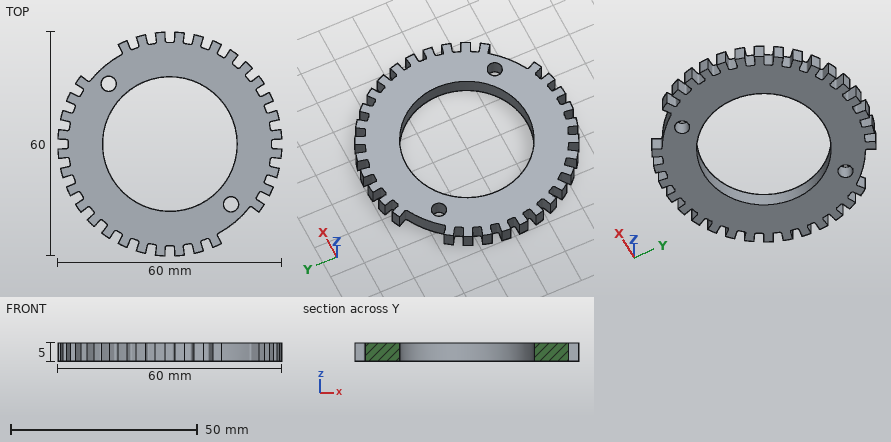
import cadquery as cq
import math

tooth_positions = 36
pitch_angle = 360 / tooth_positions
gap_angle = pitch_angle / 2
root_fillet = 0.5
gap_clearance = 3.0

overall_width = 59.95
outer_radius = overall_width / 2 / math.cos(math.radians(gap_angle / 2))
root_radius = 27.2
bore_diameter = 35.95
thickness = 5.0

wide_gap_centers = (130, 310)
missing_teeth = 2
wide_gap_angle = gap_angle + missing_teeth * pitch_angle

hole_diameter = 4.0
hole_x = 16.35
hole_y = 16.1


def polar(radius, degrees):
    angle = math.radians(degrees)
    return radius * math.cos(angle), radius * math.sin(angle)


def gap_cutter(center_angle, width_angle):
    """Sector between two radial flanks, with its corners at the root rounded."""
    start = center_angle - width_angle / 2
    end = center_angle + width_angle / 2
    clear_radius = outer_radius + gap_clearance
    sector = (
        cq.Workplane("XY")
        .moveTo(*polar(root_radius, start))
        .threePointArc(polar(root_radius, center_angle), polar(root_radius, end))
        .lineTo(*polar(clear_radius, end))
        .threePointArc(polar(clear_radius, center_angle), polar(clear_radius, start))
        .close()
        .extrude(thickness)
    )
    root_corners = [
        edge
        for edge in sector.edges("|Z").vals()
        if math.hypot(edge.Center().x, edge.Center().y) < outer_radius
    ]
    return sector.newObject(root_corners).fillet(root_fillet)


def in_wide_gap(angle):
    return any(abs(angle - center) < wide_gap_angle / 2 for center in wide_gap_centers)


result = cq.Workplane("XY").circle(outer_radius).circle(bore_diameter / 2).extrude(thickness)

for index in range(tooth_positions):
    gap_center = index * pitch_angle
    if not in_wide_gap(gap_center):
        result = result.cut(gap_cutter(gap_center, gap_angle))

for gap_center in wide_gap_centers:
    result = result.cut(gap_cutter(gap_center, wide_gap_angle))

result = (
    result.faces(">Z")
    .workplane(origin=(0, 0, thickness))
    .pushPoints([(-hole_x, hole_y), (hole_x, -hole_y)])
    .hole(hole_diameter)
)